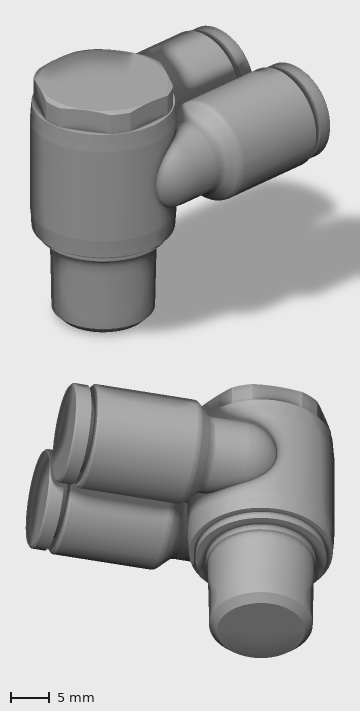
import cadquery as cq

total_height = 34.0
stud_bottom_chamfer = 1.0
thread_bottom_radius = 6.73
thread_top_radius = 6.95
thread_top_z = 10.95
shank_radius = 7.2
shank_chamfer_height = 0.15
collar_radius = 8.5
collar_bottom_z = 11.92

body_radius = 9.5
body_end_radius = 9.32
body_bottom_z = 12.95
body_top_z = 30.95
body_taper_height = 2.5

hex_across_flats = 2 * collar_radius
hex_corner_radius = 9.15
head_top_radius = 8.42
head_chamfer_height = 0.25

total_length = 37.6
port_end_y = total_length - body_radius
port_axis_z = (body_bottom_z + body_top_z) / 2
elbow_radius = 5.0
elbow_ball_y = 4.6
shoulder_start_y = 9.55
shoulder_end_y = 11.55
shoulder_fillet = 1.0
total_width = 27.8
sleeve_radius = 6.85
port_offset_x = total_width / 2 - sleeve_radius
sleeve_end_y = 25.25
neck_radius = 4.8
release_ring_radius = 6.55
release_ring_width = 2.0
rim_chamfer = 0.25

web_end_y = 23.55
web_thickness = 2.0


def make_stud():
    """Tapered thread, shank and collar turned about the Z axis."""
    profile = [
        (0, 0),
        (thread_bottom_radius - stud_bottom_chamfer, 0),
        (thread_bottom_radius, stud_bottom_chamfer),
        (thread_top_radius, thread_top_z),
        (shank_radius, thread_top_z + shank_chamfer_height),
        (shank_radius, collar_bottom_z),
        (collar_radius, collar_bottom_z),
        (collar_radius, body_bottom_z),
        (0, body_bottom_z),
    ]
    return cq.Workplane("XZ").polyline(profile).close().revolve(360, (0, 0), (0, 1))


def make_body():
    """Banjo body turned about the Z axis."""
    profile = [
        (0, body_bottom_z),
        (body_end_radius, body_bottom_z),
        (body_radius, body_bottom_z + body_taper_height),
        (body_radius, body_top_z - body_taper_height),
        (body_end_radius, body_top_z),
        (0, body_top_z),
    ]
    return cq.Workplane("XZ").polyline(profile).close().revolve(360, (0, 0), (0, 1))


def make_head():
    """Hexagon with flats facing +X and -X, trimmed by a chamfered round blank."""
    hexagon = (
        cq.Workplane("XY", origin=(0, 0, body_top_z))
        .polygon(6, hex_across_flats, circumscribed=True)
        .extrude(total_height - body_top_z)
    )
    blank_profile = [
        (0, body_top_z),
        (hex_corner_radius, body_top_z),
        (hex_corner_radius, total_height - head_chamfer_height),
        (head_top_radius, total_height),
        (0, total_height),
    ]
    blank = cq.Workplane("XZ").polyline(blank_profile).close().revolve(360, (0, 0), (0, 1))
    return hexagon.intersect(blank)


def port_cylinder(radius, start_y, end_y):
    """Cylinder along +Y on the port axis, before the sideways offset."""
    plane = cq.Plane(origin=(0, start_y, port_axis_z), xDir=(1, 0, 0), normal=(0, 1, 0))
    return cq.Workplane(plane).circle(radius).extrude(end_y - start_y)


def make_port(offset_x):
    """Round-ended elbow, conical shoulder, sleeve and release ring."""
    shell_profile = [
        (0, elbow_ball_y),
        (elbow_radius, elbow_ball_y),
        (elbow_radius, shoulder_start_y),
        (sleeve_radius, shoulder_end_y),
        (sleeve_radius, sleeve_end_y),
        (0, sleeve_end_y),
    ]
    shell = (
        cq.Workplane("XY", origin=(0, 0, port_axis_z))
        .polyline(shell_profile)
        .close()
        .revolve(360, (0, 0), (0, 1))
    )
    shell = shell.faces("%CONE").edges("%CIRCLE").fillet(shoulder_fillet)
    shell = shell.faces(">Y").edges().chamfer(rim_chamfer)
    elbow_ball = cq.Workplane("XY", origin=(0, elbow_ball_y, port_axis_z)).sphere(elbow_radius)
    neck = port_cylinder(neck_radius, shoulder_end_y, port_end_y)
    ring = port_cylinder(release_ring_radius, port_end_y - release_ring_width, port_end_y)
    ring = ring.faces(">Y").edges().chamfer(rim_chamfer)
    return shell.union(elbow_ball).union(neck).union(ring).translate((offset_x, 0, 0))


def make_web():
    """Plate between the port axes, running along +Y from the stud axis."""
    return (
        cq.Workplane("XY", origin=(0, web_end_y / 2, port_axis_z))
        .box(2 * port_offset_x, web_end_y, web_thickness)
    )


result = make_stud().union(make_body()).union(make_head()).union(make_web())
for port_x in (-port_offset_x, port_offset_x):
    result = result.union(make_port(port_x))